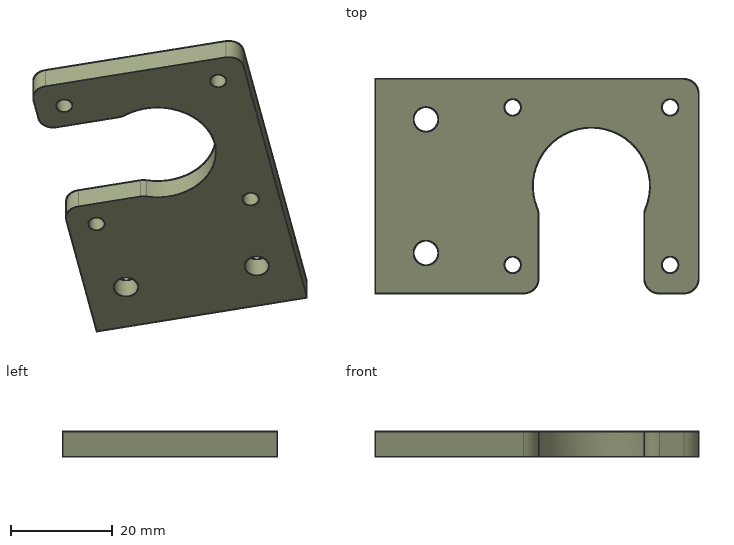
import cadquery as cq

plate_length = 63.72
plate_width = 42.3
plate_thickness = 5.0
corner_radius = 3.0

motor_x = (plate_length - plate_width) / 2
motor_hole_spacing = 31.0
motor_hole_diameter = 3.2
pilot_diameter = 23.0

slot_width = 20.74
slot_blend_radius = 3.0

mount_hole_diameter = 4.8
mount_hole_end_distance = 10.0
mount_hole_side_distance = 8.0
mount_hole_x = mount_hole_end_distance - plate_length / 2
mount_hole_y = plate_width / 2 - mount_hole_side_distance


def make_plate():
    """Plain rectangular plate."""
    return cq.Workplane("XY").box(
        plate_length, plate_width, plate_thickness, centered=(True, True, False)
    )


def make_motor_opening():
    """Pilot bore joined to the slot, with the two meeting edges blended."""
    slot_length = plate_width / 2
    bore = cq.Workplane("XY").center(motor_x, 0).circle(pilot_diameter / 2).extrude(plate_thickness)
    slot = (
        cq.Workplane("XY")
        .center(motor_x, -slot_length / 2)
        .rect(slot_width, slot_length)
        .extrude(plate_thickness)
    )
    meeting_edges = "|Z and (not <Y)"
    return bore.union(slot).edges(meeting_edges).fillet(slot_blend_radius)


def round_corners(plate):
    """Round the +X corners and the slot mouth; the -X corners stay sharp."""
    return plate.edges("|Z and (<Y or >X) and (not <X)").fillet(corner_radius)


def drill_through(plate, points, diameter):
    """Drill a through hole at each (x, y) point."""
    drills = cq.Workplane("XY").pushPoints(points).circle(diameter / 2).extrude(plate_thickness)
    return plate.cut(drills)


motor_hole_points = [
    (motor_x + x_side * motor_hole_spacing / 2, y_side * motor_hole_spacing / 2)
    for x_side in (-1, 1)
    for y_side in (-1, 1)
]
mount_hole_points = [(mount_hole_x, y_side * mount_hole_y) for y_side in (-1, 1)]

result = make_plate().cut(make_motor_opening())
result = round_corners(result)
result = drill_through(result, motor_hole_points, motor_hole_diameter)
result = drill_through(result, mount_hole_points, mount_hole_diameter)